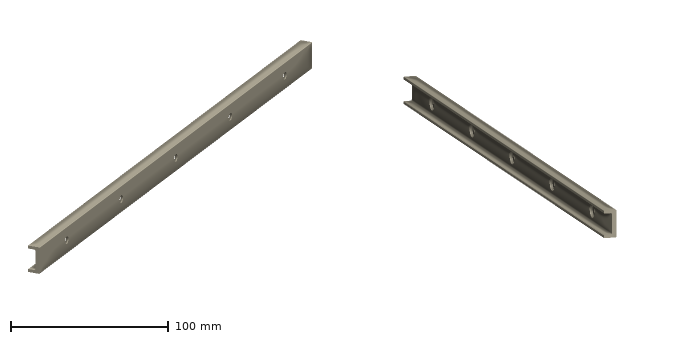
import cadquery as cq

RAIL_DEPTH = 8.25
RAIL_LENGTH = 400.0
RAIL_HEIGHT = 18.0

WEB_THICKNESS = 2.8
FLANGE_THICKNESS = 2.0
ROOT_RADIUS = 1.0
OUTER_RADIUS = 0.3
TIP_CHAMFER = 0.3

HOLE_COUNT = 5
HOLE_PITCH = 80.0
HOLE_DIAMETER = 5.0
COUNTERBORE_DIAMETER = 9.5
COUNTERBORE_DEPTH = 2.0

BACK_X = RAIL_DEPTH / 2
TIP_X = -RAIL_DEPTH / 2
WEB_INNER_X = BACK_X - WEB_THICKNESS
CHANNEL_DEPTH = RAIL_DEPTH - WEB_THICKNESS
CHANNEL_HEIGHT = RAIL_HEIGHT - 2 * FLANGE_THICKNESS


def outer_bar():
    """Solid bar with its four long edges rounded."""
    bar = cq.Workplane("XY").box(RAIL_DEPTH, RAIL_LENGTH, RAIL_HEIGHT)
    return bar.edges("|Y").fillet(OUTER_RADIUS)


def channel_cutter():
    """Channel between the flanges, rounded where they meet the web."""
    center = (TIP_X + CHANNEL_DEPTH / 2, 0, 0)
    channel = cq.Workplane("XY", origin=center).box(CHANNEL_DEPTH, RAIL_LENGTH, CHANNEL_HEIGHT)
    return channel.edges("|Y and >X").fillet(ROOT_RADIUS)


def tip_chamfer_cutter(side):
    """Wedge that bevels the inner tip edge of the upper (side = 1) or lower (side = -1) flange."""
    inner_z = side * CHANNEL_HEIGHT / 2
    return (
        cq.Workplane("XZ", origin=(TIP_X, 0, inner_z))
        .polyline([(0, 0), (TIP_CHAMFER, 0), (0, side * TIP_CHAMFER)])
        .close()
        .extrude(RAIL_LENGTH / 2, both=True)
    )


def hole_cutter(y):
    """Through hole and counterbore, entered from the channel side."""
    web_face = cq.Workplane("YZ", origin=(WEB_INNER_X, y, 0))
    through = web_face.circle(HOLE_DIAMETER / 2).extrude(WEB_THICKNESS)
    counterbore = web_face.circle(COUNTERBORE_DIAMETER / 2).extrude(COUNTERBORE_DEPTH)
    return through.union(counterbore)


result = outer_bar().cut(channel_cutter())

for flange_side in (1, -1):
    result = result.cut(tip_chamfer_cutter(flange_side))

first_hole_y = -(HOLE_COUNT - 1) / 2 * HOLE_PITCH
for index in range(HOLE_COUNT):
    result = result.cut(hole_cutter(first_hole_y + index * HOLE_PITCH))

result = result.solids()